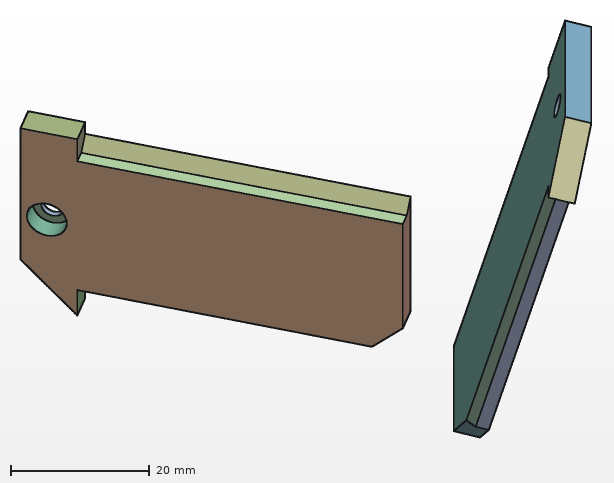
import cadquery as cq

length = 57.8
thickness = 4.0
height = 33.65

head_length = 8.6

blade_front_top = 29.4
blade_front_bottom = 4.85
flare = thickness / 2
corner_cut = 6.65

hole_x = 4.0
hole_z = 17.15
hole_diameter = 3.4
counterbore_diameter = 6.0
counterbore_depth = 3.0


def make_head():
    outline = [(0, head_length), (head_length, 0), (head_length, height), (0, height)]
    return cq.Workplane("XZ").polyline(outline).close().extrude(-thickness)


def make_blade():
    back_top = blade_front_top + flare
    back_bottom = blade_front_bottom - flare
    section = [
        (0, blade_front_bottom),
        (flare, blade_front_bottom),
        (thickness, back_bottom),
        (thickness, back_top),
        (flare, blade_front_top),
        (0, blade_front_top),
    ]
    blade = (
        cq.Workplane("YZ", origin=(head_length, 0, 0))
        .polyline(section).close()
        .extrude(length - head_length)
    )
    corner = (
        cq.Workplane("XZ")
        .polyline([
            (length - corner_cut, back_bottom),
            (length, back_bottom),
            (length, back_bottom + corner_cut),
        ])
        .close()
        .extrude(-thickness)
    )
    return blade.cut(corner)


def make_screw_hole():
    hole = cq.Workplane("XZ").center(hole_x, hole_z)
    through = hole.circle(hole_diameter / 2).extrude(-thickness)
    counterbore = hole.circle(counterbore_diameter / 2).extrude(-counterbore_depth)
    return through.union(counterbore)


result = make_head().union(make_blade()).cut(make_screw_hole())